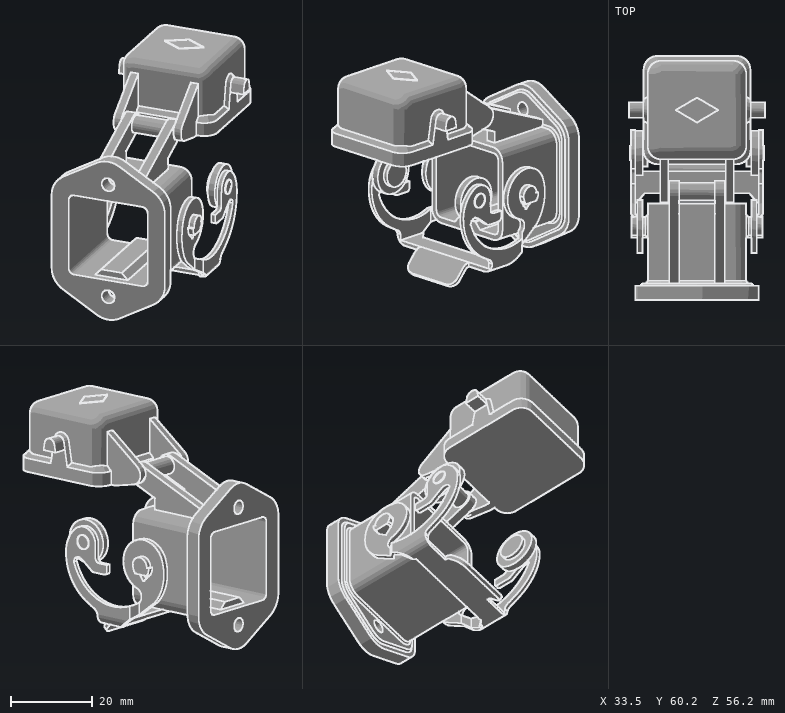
import cadquery as cq
import math


overlap = 0.6

flange_half_width = 15.2
flange_thickness = 3.6
flange_corner_radius = 6.15
screw_hole_z = 15.0
screw_hole_diameter = 3.4
flange_slope = math.radians(30)
pad_inset = 1.3
pad_height = 0.6
pad_edge_chamfer = 0.55

tube_side = 24.2
tube_end_y = 23.8
tube_corner_radius = 3.25
tube_foot_chamfer = 0.55
bore_side = 21.2
bore_corner_radius = 1.5
key_start_y = 2.05
key_height = 1.7
key_base_half_width = 4.4
key_top_half_width = 2.75

hinge_y = 26.7
hinge_z = 20.7
hinge_pin_radius = 2.2
body_arm_inner_x = 4.4
body_arm_thickness = 2.45
body_arm_tip_z = 20.15
body_arm_tip_radius = 2.7
body_arm_angle = math.radians(22.3)
body_arm_back_y = 21.25
cover_arm_inner_x = 7.05
cover_arm_thickness = 2.05
cover_arm_tip_radius = 2.7
cover_arm_upper_angle = math.radians(36.8)
cover_arm_lower_angle = math.radians(12.5)

cover_y = 46.8
cover_bottom_z = 16.7
cover_top_z = 34.3
cover_side = 24.25
cover_corner_radius = 3.25
rim_half_x = 13.2
rim_side_y = 26.7
rim_corner_radius = 3.5
rim_wall_height = 3.5
rim_taper = 46
rim_taper_height = 1.55
badge_half_x = 5.25
badge_half_y = 3.05
badge_height = 0.2

cover_peg_z = 26.1
cover_peg_radius = 1.6
cover_peg_flat_z = 24.5
pegs_overall_width = 33.5
tower_side_angle = math.radians(10)
tower_flare = 0.7

sheet_outer_x = 16.3
sheet_thickness = 1.15
eye_inner_x = 13.35
eye_thickness = 1.4
eye_y = 18.2
eye_radius = 6.5
joggle_start_y = 21.25
joggle_end_y = 19.6
channel_floor_z = -17.2
bend_radius = 2.7
roller_y = 36.3
roller_z = 3.1
roller_radius = 5.5
roller_inner_x = 13.3
hub_radius = 3.35
hub_inner_x = 12.15
rivet_radius = 1.8
rivet_end_x = 16.55
hook_head_radius = 3.9
channel_end_y = 31.75
floor_front_y = 26.3
floor_front_half_width = 12.9
floor_wall_y = 23.65
tab_half_width = 8.3
tab_corner_radius = 2.4
tab_bend_radius = 2.95
tab_tip_z = -21.7
tab_tip_y = 36.6
tab_angle = math.radians(48)

neck_upper = (joggle_end_y, -9.75)
neck_lower = (joggle_end_y, -12.8)
crescent_inner_middle = (30.7, -11.0)
crescent_inner_end = (39.35, -2.4)
hook_root_middle = (38.85, -1.4)
hook_root_end = (37.5, -1.0)
hook_under_start = (36.65, -1.45)
hook_under_end = (33.8, -3.6)
hook_bend_middle = (33.4, -3.9)
hook_bend_end_y = 32.9
hook_bottom_z = -4.0
hook_nose_y = 28.65
hook_nose_radius = 0.9
hook_top_z = -1.45
hook_throat_y = 31.15
hook_throat_middle = (32.0, -1.1)
hook_throat_end_z = -0.3
head_back = (38.6, 6.25)
back_upper_middle = (41.0, 3.4)
back_middle = (41.9, 0)
back_lower_middle = (40.55, -6.25)
back_end = (35.65, -11.6)
shoulder_start = (33.15, -13.05)
shoulder_middle = (32.2, -13.7)
shoulder_end_z = -14.75
channel_front_y = 25.5
eye_gap_start = (20.2, -6.2)
eye_gap_middle = (18.8, -7.95)
eye_leg_start = (14.55, -8.9)
eye_front_middle = (11.65, -2.5)
eye_front_end = (12.4, 2.9)
eye_top_middle = (14.7, 5.5)

pivot_radius = 2.3
pivot_end_x = 16.1
pivot_flat_z = -2.05
pivot_foot_height = 0.6
pivot_foot_taper = 45
pivot_key_y = 15.35
pivot_key_curve = [(15.6, -1.3), (16.35, -2.4)]
pivot_point_z = -4.1
pivot_back_flank = (20.1, -1.5)


def at_x(x):
    """YZ sketch plane at the given X, extruding towards +X."""
    return cq.Workplane("YZ", origin=(x, 0, 0))


def both_sides(solid):
    """The solid together with its mirror image across X = 0."""
    return solid.union(solid.mirror("YZ"))


def rounded_bar(side_x, side_z, radius, start_y, end_y):
    """Bar along Y with rounded lengthwise edges."""
    bar = cq.Workplane("XY").box(side_x, end_y - start_y, side_z)
    return bar.edges("|Y").fillet(radius).translate((0, (start_y + end_y) / 2, 0))


def flange_outline(inset):
    """Six-sided flange outline, drawn on a plane facing +Y, with its corner radius."""
    radius = flange_corner_radius - inset
    half_width = flange_half_width - inset
    apex_z = screw_hole_z + radius / math.cos(flange_slope)
    shoulder_z = apex_z - half_width * math.tan(flange_slope)
    points = [
        (0, apex_z), (half_width, shoulder_z), (half_width, -shoulder_z),
        (0, -apex_z), (-half_width, -shoulder_z), (-half_width, shoulder_z),
    ]
    return points, radius


def flange_prism(inset, start_y, height):
    points, radius = flange_outline(inset)
    prism = cq.Workplane("XZ", origin=(0, start_y, 0)).polyline(points).close().extrude(-height)
    return prism.edges("|Y").fillet(radius)


def make_body():
    flange = flange_prism(0, 0, flange_thickness)
    pad_top_y = flange_thickness + pad_height
    pad = flange_prism(pad_inset, flange_thickness, pad_height)
    pad = pad.faces(">Y").edges().chamfer(pad_edge_chamfer)
    tube = rounded_bar(tube_side, tube_side, tube_corner_radius, 0, tube_end_y)
    foot_side = tube_side + 2 * tube_foot_chamfer
    foot_radius = tube_corner_radius + tube_foot_chamfer
    foot = rounded_bar(foot_side, foot_side, foot_radius, 0, pad_top_y + tube_foot_chamfer)
    foot = foot.faces(">Y").edges().chamfer(tube_foot_chamfer)
    return flange.union(pad).union(tube).union(foot).union(make_body_arms())


def make_body_arms():
    """Two sloping hinge arms standing on the tube and running back to the flange."""
    along = (math.cos(body_arm_angle), math.sin(body_arm_angle))
    rise_y = -body_arm_tip_radius * along[1]
    rise_z = body_arm_tip_radius * along[0]
    upper = (hinge_y + rise_y, body_arm_tip_z + rise_z)
    lower = (hinge_y - rise_y, body_arm_tip_z - rise_z)
    tip = (hinge_y + body_arm_tip_radius * along[0], body_arm_tip_z + body_arm_tip_radius * along[1])
    slope = along[1] / along[0]
    root_z = tube_side / 2 - overlap
    arm = (
        at_x(body_arm_inner_x)
        .moveTo(flange_thickness, upper[1] - slope * (upper[0] - flange_thickness))
        .lineTo(*upper)
        .threePointArc(tip, lower)
        .lineTo(body_arm_back_y, lower[1] - slope * (lower[0] - body_arm_back_y))
        .lineTo(body_arm_back_y, root_z)
        .lineTo(flange_thickness, root_z)
        .close()
        .extrude(body_arm_thickness)
    )
    return both_sides(arm)


def cut_openings(body):
    bore = rounded_bar(bore_side, bore_side, bore_corner_radius, 0, tube_end_y)
    holes = (
        cq.Workplane("XZ")
        .pushPoints([(0, screw_hole_z), (0, -screw_hole_z)])
        .circle(screw_hole_diameter / 2)
        .extrude(-(flange_thickness + pad_height + tube_foot_chamfer))
    )
    key_z = -bore_side / 2
    key = (
        cq.Workplane("XZ", origin=(0, key_start_y, 0))
        .polyline([
            (-key_base_half_width, key_z), (key_base_half_width, key_z),
            (key_top_half_width, key_z + key_height), (-key_top_half_width, key_z + key_height),
        ])
        .close()
        .extrude(key_start_y - tube_end_y)
    )
    return body.cut(bore).cut(holes).union(key)


def tower_outline(sketch, radius, bottom_z):
    """Narrow upright outline: round top, sides spreading downwards."""
    side_y = radius * math.cos(tower_side_angle)
    side_z = cover_peg_z + radius * math.sin(tower_side_angle)
    foot_y = side_y + (side_z - bottom_z) * math.tan(tower_side_angle)
    return (
        sketch.moveTo(cover_y - foot_y, bottom_z)
        .lineTo(cover_y - side_y, side_z)
        .threePointArc((cover_y, cover_peg_z + radius), (cover_y + side_y, side_z))
        .lineTo(cover_y + foot_y, bottom_z)
        .close()
    )


def make_cover():
    height = cover_top_z - cover_bottom_z
    box = cq.Workplane("XY").box(cover_side, cover_side, height, centered=(True, True, False))
    box = box.edges("|Z or >Z").fillet(cover_corner_radius).translate((0, cover_y, cover_bottom_z))
    rim_sketch = cq.Sketch().rect(2 * rim_half_x, rim_side_y).vertices().fillet(rim_corner_radius)
    rim = cq.Workplane("XY", origin=(0, cover_y, cover_bottom_z))
    rim = rim.placeSketch(rim_sketch).extrude(rim_wall_height)
    slope = (
        cq.Workplane("XY", origin=(0, cover_y, cover_bottom_z + rim_wall_height))
        .placeSketch(rim_sketch)
        .extrude(rim_taper_height, taper=rim_taper)
    )
    badge = (
        cq.Workplane("XY", origin=(0, cover_y, cover_top_z))
        .polyline([(-badge_half_x, 0), (0, -badge_half_y), (badge_half_x, 0), (0, badge_half_y)])
        .close()
        .extrude(badge_height)
    )
    cover = box.union(rim).union(slope).union(badge)
    return cover.union(make_cover_pegs()).union(make_cover_arms())


def make_cover_pegs():
    """Locking pegs, each on a flared tower that rises from the rim."""
    wall_x = cover_side / 2
    depth = rim_half_x - wall_x
    flare_angle = math.degrees(math.atan2(tower_flare, depth))
    tower = tower_outline(at_x(wall_x), cover_peg_radius + tower_flare, cover_bottom_z + overlap)
    tower = tower.extrude(depth, taper=flare_angle)
    peg = tower_outline(at_x(wall_x), cover_peg_radius, cover_peg_flat_z)
    peg = peg.extrude(pegs_overall_width / 2 - wall_x)
    return both_sides(tower.union(peg))


def make_cover_arms():
    """Two hinge arms outside the body arms, joined to them by the hinge pin."""
    root_y = cover_y - cover_side / 2 + overlap
    r = cover_arm_tip_radius
    upper = (hinge_y - r * math.sin(cover_arm_upper_angle), hinge_z + r * math.cos(cover_arm_upper_angle))
    lower = (hinge_y - r * math.sin(cover_arm_lower_angle), hinge_z - r * math.cos(cover_arm_lower_angle))
    heel_y = lower[0] + (lower[1] - cover_bottom_z) / math.tan(cover_arm_lower_angle)
    arm = (
        at_x(cover_arm_inner_x)
        .moveTo(*upper)
        .lineTo(root_y, upper[1] + (root_y - upper[0]) * math.tan(cover_arm_upper_angle))
        .lineTo(root_y, cover_bottom_z)
        .lineTo(heel_y, cover_bottom_z)
        .lineTo(*lower)
        .threePointArc((hinge_y - r, hinge_z), upper)
        .close()
        .extrude(cover_arm_thickness)
    )
    pin_half = cover_arm_inner_x + cover_arm_thickness / 2
    pin = at_x(-pin_half).center(hinge_y, body_arm_tip_z).circle(hinge_pin_radius).extrude(2 * pin_half)
    return both_sides(arm).union(pin)


def pivot_outline(sketch):
    """Round-topped keyed outline that ends in a point below."""
    return (
        sketch.moveTo(eye_y + pivot_radius, 0)
        .threePointArc((eye_y, pivot_radius), (eye_y - pivot_radius, 0))
        .lineTo(pivot_key_y, 0)
        .threePointArc(*pivot_key_curve)
        .lineTo(eye_y, pivot_point_z)
        .lineTo(*pivot_back_flank)
        .close()
    )


def make_pivot_pegs():
    """Flat-bottomed pegs, each standing on a round tapered foot."""
    wall_x = tube_side / 2
    peg = pivot_outline(at_x(wall_x - overlap)).extrude(pivot_end_x - wall_x + overlap)
    foot = at_x(wall_x).center(eye_y, 0).circle(pivot_radius + pivot_foot_height)
    foot = foot.extrude(pivot_foot_height, taper=pivot_foot_taper)
    below = cq.Workplane("XY", origin=(0, eye_y, pivot_flat_z))
    below = below.rect(4 * pivot_end_x, 4 * pivot_radius).extrude(-4 * pivot_radius)
    return both_sides(peg.cut(below).union(foot))


def make_lever_strip():
    """Hook, crescent and channel, cut from a joggled sheet bent to a U."""
    head_front_y = roller_y - hook_head_radius
    profile = (
        at_x(-sheet_outer_x)
        .moveTo(*neck_upper)
        .threePointArc(crescent_inner_middle, crescent_inner_end)
        .threePointArc(hook_root_middle, hook_root_end)
        .lineTo(*hook_under_start)
        .lineTo(*hook_under_end)
        .threePointArc(hook_bend_middle, (hook_bend_end_y, hook_bottom_z))
        .lineTo(hook_nose_y + hook_nose_radius, hook_bottom_z)
        .radiusArc((hook_nose_y, hook_bottom_z + hook_nose_radius), hook_nose_radius)
        .lineTo(hook_nose_y, hook_top_z)
        .lineTo(hook_throat_y, hook_top_z)
        .threePointArc(hook_throat_middle, (head_front_y, hook_throat_end_z))
        .lineTo(head_front_y, roller_z)
        .threePointArc((roller_y, roller_z + hook_head_radius), head_back)
        .threePointArc(back_upper_middle, back_middle)
        .threePointArc(back_lower_middle, back_end)
        .lineTo(*shoulder_start)
        .threePointArc(shoulder_middle, (channel_end_y, shoulder_end_z))
        .lineTo(channel_end_y, channel_floor_z)
        .lineTo(channel_front_y, channel_floor_z)
        .lineTo(*neck_lower)
        .close()
        .extrude(2 * sheet_outer_x)
    )
    sheet_inner_x = sheet_outer_x - sheet_thickness
    eye_outer_x = eye_inner_x + eye_thickness
    bend_z = channel_floor_z + bend_radius
    sheet_back_y = back_middle[0] + overlap
    floor_top_z = channel_floor_z + sheet_thickness
    joggled_sheet = (
        cq.Workplane("XY", origin=(0, 0, bend_z))
        .polyline([
            (sheet_outer_x, sheet_back_y), (sheet_outer_x, joggle_start_y), (eye_outer_x, joggle_end_y),
            (eye_inner_x, joggle_end_y), (sheet_inner_x, joggle_start_y), (sheet_inner_x, sheet_back_y),
        ])
        .close()
        .extrude(roller_z + hook_head_radius - bend_z)
    )
    channel = (
        cq.Workplane("XZ", origin=(0, channel_end_y, 0))
        .moveTo(-sheet_outer_x, bend_z)
        .radiusArc((bend_radius - sheet_outer_x, channel_floor_z), -bend_radius)
        .lineTo(sheet_outer_x - bend_radius, channel_floor_z)
        .radiusArc((sheet_outer_x, bend_z), -bend_radius)
        .lineTo(sheet_inner_x, bend_z)
        .lineTo(sheet_inner_x, floor_top_z)
        .lineTo(-sheet_inner_x, floor_top_z)
        .lineTo(-sheet_inner_x, bend_z)
        .close()
        .extrude(channel_end_y - joggle_start_y)
    )
    floor_cut = (
        cq.Workplane("XY", origin=(0, 0, channel_floor_z))
        .polyline([
            (-floor_front_half_width, floor_front_y), (floor_front_half_width, floor_front_y),
            (sheet_inner_x, floor_wall_y), (sheet_inner_x, joggle_start_y),
            (-sheet_inner_x, joggle_start_y), (-sheet_inner_x, floor_wall_y),
        ])
        .close()
        .extrude(bend_radius)
    )
    return profile.intersect(both_sides(joggled_sheet).union(channel.cut(floor_cut)))


def make_lever_eyes():
    """Plates around the pivot pegs, each with a leg running down to the joggle."""
    eye = (
        at_x(eye_inner_x)
        .moveTo(eye_y, eye_radius)
        .threePointArc((eye_y + eye_radius, 0), eye_gap_start)
        .threePointArc(eye_gap_middle, neck_upper)
        .lineTo(*neck_lower)
        .lineTo(*eye_leg_start)
        .threePointArc(eye_front_middle, eye_front_end)
        .threePointArc(eye_top_middle, (eye_y, eye_radius))
        .close()
        .extrude(eye_thickness)
    )
    hole = pivot_outline(at_x(eye_inner_x)).extrude(eye_thickness)
    return both_sides(eye.cut(hole))


def make_rollers():
    """Roller, inner hub and rivet on each hook head."""
    def disc(radius, start_x, end_x):
        return at_x(start_x).center(roller_y, roller_z).circle(radius).extrude(end_x - start_x)

    roller = disc(roller_radius, roller_inner_x, sheet_outer_x - sheet_thickness)
    hub = disc(hub_radius, hub_inner_x, roller_inner_x)
    rivet = disc(rivet_radius, roller_inner_x, rivet_end_x)
    return both_sides(roller.union(hub).union(rivet))


def make_tab():
    """Sloping thumb tab with rounded end corners."""
    end_y = tab_tip_y + sheet_thickness * math.sin(tab_angle)
    end_z = tab_tip_z + sheet_thickness * math.cos(tab_angle)
    floor_top_z = channel_floor_z + sheet_thickness
    upper_bend_y = end_y - (floor_top_z - end_z) / math.tan(tab_angle)
    lower_bend_y = tab_tip_y - (channel_floor_z - tab_tip_z) / math.tan(tab_angle)
    tab = (
        at_x(-tab_half_width)
        .polyline([
            (channel_end_y - overlap, floor_top_z), (upper_bend_y, floor_top_z), (end_y, end_z),
            (tab_tip_y, tab_tip_z), (lower_bend_y, channel_floor_z),
            (channel_end_y - overlap, channel_floor_z),
        ])
        .close()
        .extrude(2 * tab_half_width)
    )
    end_corners = cq.selectors.BoxSelector(
        (-tab_half_width - overlap, tab_tip_y - overlap, tab_tip_z - overlap),
        (tab_half_width + overlap, end_y + overlap, end_z + overlap),
    )
    tab = tab.edges(end_corners).edges("not |X").fillet(tab_corner_radius)
    upper_bend = cq.selectors.NearestToPointSelector((0, upper_bend_y, floor_top_z))
    lower_bend = cq.selectors.NearestToPointSelector((0, lower_bend_y, channel_floor_z))
    tab = tab.edges(upper_bend).fillet(tab_bend_radius)
    return tab.edges(lower_bend).fillet(tab_bend_radius - sheet_thickness)


body = cut_openings(make_body())
lever = make_lever_strip().union(make_lever_eyes()).union(make_rollers()).union(make_tab())
result = body.union(make_cover()).union(make_pivot_pegs()).union(lever)